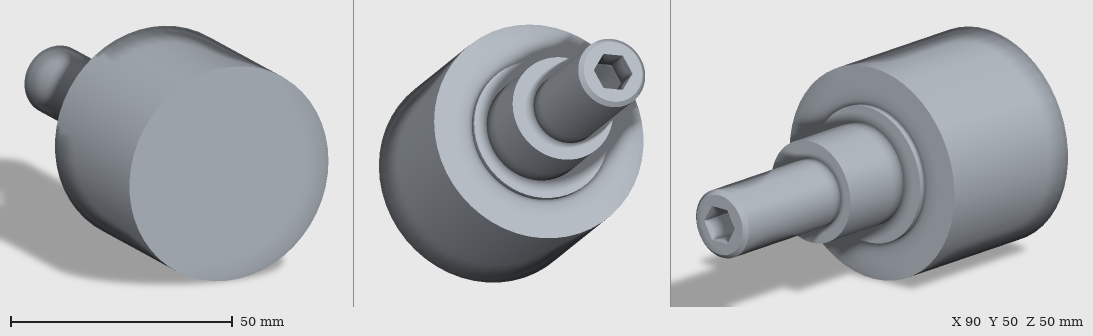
import cadquery as cq
import math

shaft_diameter = 16.0
shaft_length = 32.0
tip_chamfer = 1.0

eccentric_diameter = 24.0
eccentric_length = 18.0
eccentricity = 1.0

collar_diameter = 32.0
collar_length = 1.6

roller_diameter = 50.0
roller_length = 38.4

hex_across_flats = 8.0
hex_depth = 8.0
drill_point_angle = 118.0

eccentric_start = shaft_length
collar_start = eccentric_start + eccentric_length
roller_start = collar_start + collar_length


def cylinder_along_x(diameter, length, start, y_offset=0.0):
    """Solid cylinder running toward +X from X = start."""
    profile = cq.Workplane("YZ", origin=(start, 0, 0)).center(y_offset, 0).circle(diameter / 2)
    return profile.extrude(length)


def make_shaft():
    """Shaft with a chamfered free end."""
    shaft = cylinder_along_x(shaft_diameter, shaft_length, 0.0)
    return shaft.faces("<X").chamfer(tip_chamfer)


def make_hex_socket():
    """Cutting body of the socket: a hexagon with two corners on the Y axis, then a drill cone."""
    across_corners = hex_across_flats / math.cos(math.radians(30))
    prism = cq.Workplane("YZ").polygon(6, across_corners).extrude(hex_depth)

    cone_radius = hex_across_flats / 2
    cone_height = cone_radius / math.tan(math.radians(drill_point_angle / 2))
    cone = cq.Solid.makeCone(
        cone_radius, 0.0, cone_height, pnt=cq.Vector(hex_depth, 0, 0), dir=cq.Vector(1, 0, 0)
    )
    return prism.union(cq.Workplane(cone))


shaft = make_shaft()
eccentric = cylinder_along_x(eccentric_diameter, eccentric_length, eccentric_start, eccentricity)
collar = cylinder_along_x(collar_diameter, collar_length, collar_start)
roller = cylinder_along_x(roller_diameter, roller_length, roller_start)

result = shaft.union(eccentric).union(collar).union(roller).cut(make_hex_socket())